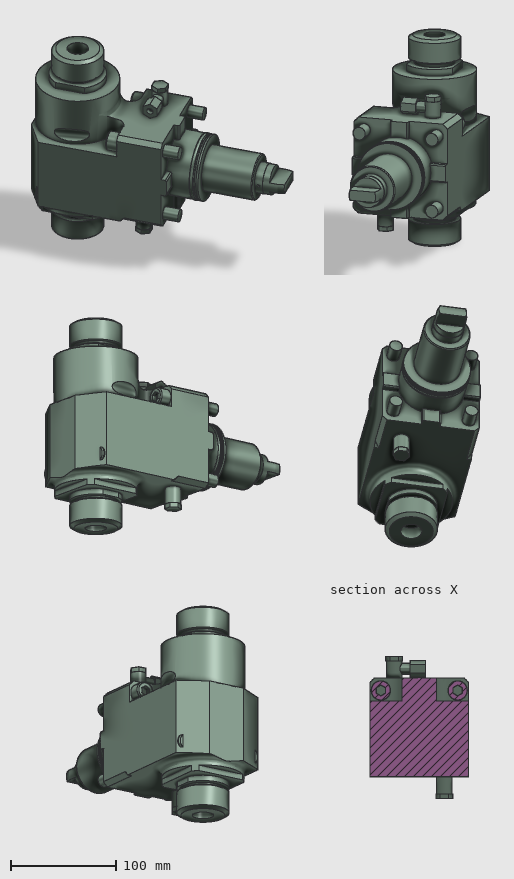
import cadquery as cq
import math

overall_length = 252.0

block_width = 94.0
block_half_width = block_width / 2
nose_flat_half_width = 19.5
nose_slope_length = 16.1
shoulder_x = 55.0
mount_face_x = 99.5
shoulder_z = 25.5
block_top_z = 47.5
block_bottom_z = -46.9
rear_chamfer = 4.5
lower_chamfer_x = 63.0

head_radius = 40.0
head_top_z = 74.0
flange_radius = 39.3
flange_bottom_z = -57.2
blend_radius = 7.5
web_corner_radius = 10.8
web_width = 33.0
web_half_width = web_width / 2
key_plate_half_width = 30.2
key_plate_bottom_z = -62.7

nut_radius = 25.0
nut_chamfer_height = 2.5
nut_chamfer_width = 4.0
nut_bore_radius = 10.0
nut_bore_depth = 13.0
collar_radius = 20.2
collar_height = 2.3
neck_radius = 19.5
wrench_half_width = 23.2
top_nut_end_z = 108.0
top_nut_start_z = 86.0
top_ring_radius = 27.5
top_ring_end_z = 80.6
bottom_nut_end_z = -94.8
bottom_nut_start_z = -72.3
bottom_ring_end_z = -68.0

screw_y = 36.5
screw_z = 35.3
screw_head_diameter = 18.5
screw_head_radius = screw_head_diameter / 2
screw_head_length = 11.8
screw_head_chamfer = 1.3
screw_diameter = 12.3
screw_radius = screw_diameter / 2
screw_end_x = 115.0
lower_head_start_x = -27.2
socket_radius = 5.0
socket_depth = 5.0
access_bore_radius = 8.0
access_bore_tilt = 10.0
access_bore_depth = 3.8

boss_radius = 32.3
boss_end_x = 122.7
ring_groove_width = 3.5
ring_radius = 1.8
ring_outer_radius = 32.8
pilot_radius = 32.5
pilot_end_x = 131.8
pilot_groove_start_x = 127.8
pilot_groove_width = 1.8
pilot_groove_depth = 0.8
shank_diameter = 45.0
shank_radius = shank_diameter / 2
shank_end_x = 182.5
shank_chamfer = 1.0
journal_diameter = 30.0
journal_radius = journal_diameter / 2
journal_end_x = 190.5
drive_radius = 14.5
drive_shoulder_x = 197.3
drive_end_x = overall_length - head_radius
tongue_half_thickness = 5.0
tongue_chamfer_length = 6.3
tongue_chamfer_depth = 1.3
pin_hole_x = 186.5
pin_hole_radius = 1.3
pin_hole_depth = 2.5

tab_length = 5.5
tab_half_width = 8.8
tab_chamfer = 1.3

fitting_x = 74.5
fitting_spread_y = 47.6
fitting_y = fitting_spread_y / 2
fitting_radius = 7.5
fitting_hex_radius = 8.0
fitting_hex_height = 4.5
fitting_top_z = 67.8
fitting_bottom_z = -67.5
arm_z = 56.0
arm_radius = 5.3
arm_hex_start_y = 8.5
arm_hex_end_y = -6.0
arm_bore_radius = 3.0
arm_bore_depth = 5.0


def box(x0, x1, y0, y1, z0, z1):
    """Box between two limits along each axis."""
    return cq.Workplane("XY").box(x1 - x0, y1 - y0, z1 - z0, centered=False).translate((x0, y0, z0))


def cylinder_z(radius, z0, z1, x=0, y=0):
    """Upright cylinder from z0 to z1."""
    return cq.Workplane("XY").center(x, y).circle(radius).extrude(z1 - z0).translate((0, 0, z0))


def cylinder_x(radius, x0, x1, y=0, z=0):
    """Cylinder along X from x0 to x1."""
    return cq.Workplane("YZ").center(y, z).circle(radius).extrude(x1 - x0).translate((x0, 0, 0))


def hexagon(radius):
    """Hexagon corners, the first one on the local Y axis."""
    angles = [math.radians(90 + 60 * i) for i in range(6)]
    return [(radius * math.cos(a), radius * math.sin(a)) for a in angles]


def nose_prism(z0, z1):
    """Nose outline with its sloped front corners, from z0 to z1."""
    slope_end_x = -head_radius + nose_slope_length
    outline = [
        (-head_radius, -nose_flat_half_width),
        (slope_end_x, -block_half_width),
        (shoulder_x, -block_half_width),
        (shoulder_x, block_half_width),
        (slope_end_x, block_half_width),
        (-head_radius, nose_flat_half_width),
    ]
    return cq.Workplane("XY").polyline(outline).close().extrude(z1 - z0).translate((0, 0, z0))


def rear_block():
    """Rear part with chamfered long edges; the lower chamfers run out before the nose."""
    block = box(shoulder_x, mount_face_x, -block_half_width, block_half_width, block_bottom_z, block_top_z)
    block = block.edges("|X and >Z").chamfer(rear_chamfer)
    runout = cq.Workplane("XZ").polyline([
        (lower_chamfer_x - rear_chamfer, block_bottom_z),
        (lower_chamfer_x, block_bottom_z + rear_chamfer),
        (mount_face_x, block_bottom_z + rear_chamfer),
        (mount_face_x, block_bottom_z),
    ]).close().extrude(block_half_width, both=True)
    beveled = block.edges("|X and <Z").chamfer(rear_chamfer)
    return block.cut(runout).union(beveled.intersect(runout))


def blend(cylinder_radius, face_z, direction):
    """Concave round between an upright cylinder and a level face, filled in to the axis."""
    tip_z = face_z + direction * blend_radius
    outer = cylinder_radius + blend_radius
    diagonal = blend_radius * math.sqrt(0.5)
    profile = (
        cq.Workplane("XZ")
        .moveTo(0, face_z)
        .lineTo(outer, face_z)
        .threePointArc((outer - diagonal, tip_z - direction * diagonal), (cylinder_radius, tip_z))
        .lineTo(0, tip_z)
        .close()
    )
    return profile.revolve(360, (0, 0, 0), (0, 1, 0))


def web(z0, z1):
    """Web joining the head to the rear block: 45 degree sides tangent to the head, rounded corners."""
    diagonal = math.sqrt(0.5)
    tangent = head_radius * diagonal
    arc_center_x = shoulder_x - web_corner_radius
    arc_center_y = web_half_width + web_corner_radius
    arc_start_y = arc_center_y - web_corner_radius * diagonal
    arc_start_x = arc_center_x - web_corner_radius * diagonal
    outline = (
        cq.Workplane("XY")
        .moveTo(0, tangent)
        .lineTo(tangent, tangent)
        .lineTo(arc_start_x, arc_start_y)
        .threePointArc((arc_center_x, web_half_width), (shoulder_x, arc_center_y))
        .lineTo(shoulder_x, -arc_center_y)
        .threePointArc((arc_center_x, -web_half_width), (arc_start_x, -arc_start_y))
        .lineTo(tangent, -tangent)
        .lineTo(0, -tangent)
        .close()
    )
    return outline.extrude(z1 - z0).translate((0, 0, z0))


def head():
    """Spindle head above the nose, its web and the flange below the block."""
    rear_overlap = box(shoulder_x, mount_face_x, -web_half_width, web_half_width, 0, head_top_z)
    blend_outline = web(0, head_top_z).union(rear_overlap)
    upper = (
        cylinder_z(head_radius, shoulder_z, head_top_z)
        .union(web(shoulder_z, block_top_z))
        .union(blend(head_radius, block_top_z, 1).intersect(blend_outline))
    )
    lower_blend = blend(flange_radius, block_bottom_z, -1).intersect(nose_prism(flange_bottom_z, 0))
    return upper.union(lower_blend).union(cylinder_z(flange_radius, flange_bottom_z, block_bottom_z))


def key_plate():
    """Round plate under the flange with four flats."""
    half = key_plate_half_width
    square = box(-half, half, -half, half, key_plate_bottom_z, flange_bottom_z)
    return cylinder_z(flange_radius, key_plate_bottom_z, flange_bottom_z).intersect(square)


def nut(flat_ring_radius, ring_start, ring_end, nut_start, nut_end):
    """Collet nut on a stepped neck, with a two-flat wrench ring; heights are measured outward."""
    half = wrench_half_width
    ring = cylinder_z(flat_ring_radius, ring_start, ring_end).intersect(
        box(-flat_ring_radius, flat_ring_radius, -half, half, ring_start, ring_end)
    )
    neck = cylinder_z(neck_radius, ring_end, nut_start)
    collar = cylinder_z(collar_radius, nut_start - collar_height, nut_start)
    body = (
        cylinder_z(nut_radius, nut_start, nut_end)
        .faces(">Z").edges().chamfer(nut_chamfer_height, nut_chamfer_width)
        .cut(cylinder_z(nut_bore_radius, nut_end - nut_bore_depth, nut_end))
    )
    return ring.union(neck).union(collar).union(body)


def screw(head_x, y, z):
    """Socket head screw along X whose thread end stands out of the mounting face."""
    cap = (
        cylinder_x(screw_head_radius, head_x, head_x + screw_head_length, y, z)
        .faces("<X").edges().chamfer(screw_head_chamfer)
    )
    socket = (
        cq.Workplane("YZ").polyline(hexagon(socket_radius)).close().extrude(socket_depth)
        .translate((head_x, y, z))
    )
    thread = cylinder_x(screw_radius, head_x + screw_head_length, screw_end_x, y, z)
    return cap.cut(socket).union(thread)


def access_bore(side):
    """Tilted groove in the head that clears the key of an upper screw; side is the sign of Y."""
    tilt = math.radians(access_bore_tilt)
    axis_distance = head_radius - access_bore_depth + access_bore_radius
    axis_x = axis_distance * math.sin(tilt)
    axis_y = axis_distance * math.cos(tilt)
    bore = cylinder_x(access_bore_radius, -head_radius, head_radius)
    bore = bore.rotate((0, 0, 0), (0, 0, 1), -side * access_bore_tilt)
    return bore.translate((axis_x, side * axis_y, screw_z))


def shank():
    """Stepped shank with sealing ring, pilot, journal and drive tongue."""
    pilot_start_x = boss_end_x + ring_groove_width
    ring_center_radius = ring_outer_radius - ring_radius
    body = cylinder_x(boss_radius, mount_face_x, boss_end_x)
    body = body.union(cylinder_x(ring_center_radius, boss_end_x, pilot_start_x))
    ring = (
        cq.Workplane("XY")
        .center(boss_end_x + ring_groove_width / 2, ring_center_radius)
        .circle(ring_radius)
        .revolve(360, (0, -ring_center_radius, 0), (1, -ring_center_radius, 0))
    )
    pilot = cylinder_x(pilot_radius, pilot_start_x, pilot_end_x)
    groove_end_x = pilot_groove_start_x + pilot_groove_width
    groove = cylinder_x(pilot_radius, pilot_groove_start_x, groove_end_x).cut(
        cylinder_x(pilot_radius - pilot_groove_depth, pilot_groove_start_x, groove_end_x)
    )
    barrel = cylinder_x(shank_radius, pilot_end_x, shank_end_x).faces(">X").edges().chamfer(shank_chamfer)
    journal = cylinder_x(journal_radius, shank_end_x, journal_end_x)
    pin_hole = (
        cq.Workplane("XZ").center(pin_hole_x, 0).circle(pin_hole_radius).extrude(pin_hole_depth)
        .translate((0, pin_hole_depth - journal_radius, 0))
    )
    drive = (
        cylinder_x(drive_radius, journal_end_x, drive_end_x)
        .faces(">X").edges().chamfer(tongue_chamfer_length, tongue_chamfer_depth)
    )
    tongue_space = box(
        drive_shoulder_x, drive_end_x, -drive_radius, drive_radius, -drive_radius, drive_radius
    ).cut(box(
        drive_shoulder_x, drive_end_x, -drive_radius, drive_radius,
        -tongue_half_thickness, tongue_half_thickness,
    ))
    body = body.union(ring).union(pilot.cut(groove)).union(barrel)
    return body.union(journal.cut(pin_hole)).union(drive.cut(tongue_space))


def tabs():
    """Four locating tabs, from the boss out to each side face of the block."""
    end_x = mount_face_x + tab_length
    upright = box(mount_face_x, end_x, -tab_half_width, tab_half_width, block_bottom_z, block_top_z)
    level = box(mount_face_x, end_x, -block_half_width, block_half_width, -tab_half_width, tab_half_width)
    upright = upright.edges("|Z and >X").chamfer(tab_chamfer)
    level = level.edges("|Y and >X").chamfer(tab_chamfer)
    return upright.union(level)


def hex_z(z0, z1, y):
    """Upright hexagon on a coolant fitting, with a corner toward -Y and +Y."""
    prism = cq.Workplane("XY").polyline(hexagon(fitting_hex_radius)).close().extrude(z1 - z0)
    return prism.translate((fitting_x, y, z0))


def upper_fitting():
    """Coolant elbow on top of the block with a hexagonal arm toward -Y."""
    hex_start_z = fitting_top_z - fitting_hex_height
    post = cylinder_z(fitting_radius, block_top_z, hex_start_z, fitting_x, fitting_y)
    arm_plane = cq.Workplane("XZ")
    tube = (
        arm_plane.circle(arm_radius).extrude(fitting_y - arm_hex_start_y)
        .translate((fitting_x, fitting_y, arm_z))
    )
    nipple = (
        arm_plane.polyline(hexagon(fitting_hex_radius)).close().extrude(arm_hex_start_y - arm_hex_end_y)
        .faces("<Y").workplane(origin=(0, arm_hex_end_y, 0)).circle(arm_bore_radius)
        .cutBlind(-arm_bore_depth)
        .translate((fitting_x, arm_hex_start_y, arm_z))
    )
    return post.union(hex_z(hex_start_z, fitting_top_z, fitting_y)).union(tube).union(nipple)


def lower_fitting():
    """Straight coolant plug under the block."""
    hex_end_z = fitting_bottom_z + fitting_hex_height
    post = cylinder_z(fitting_radius, hex_end_z, block_bottom_z, fitting_x, -fitting_y)
    return post.union(hex_z(fitting_bottom_z, hex_end_z, -fitting_y))


top_nut = nut(top_ring_radius, head_top_z, top_ring_end_z, top_nut_start_z, top_nut_end_z)
bottom_nut = nut(
    nut_radius, -key_plate_bottom_z, -bottom_ring_end_z, -bottom_nut_start_z, -bottom_nut_end_z
).mirror("XY")

result = nose_prism(block_bottom_z, shoulder_z).union(rear_block()).union(head())
for side in (-1, 1):
    result = result.cut(access_bore(side))
result = result.union(key_plate()).union(top_nut).union(bottom_nut).union(shank()).union(tabs())
for side in (-1, 1):
    result = result.union(screw(shoulder_x - screw_head_length, side * screw_y, screw_z))
    result = result.union(screw(lower_head_start_x, side * screw_y, -screw_z))
result = result.union(upper_fitting()).union(lower_fitting())